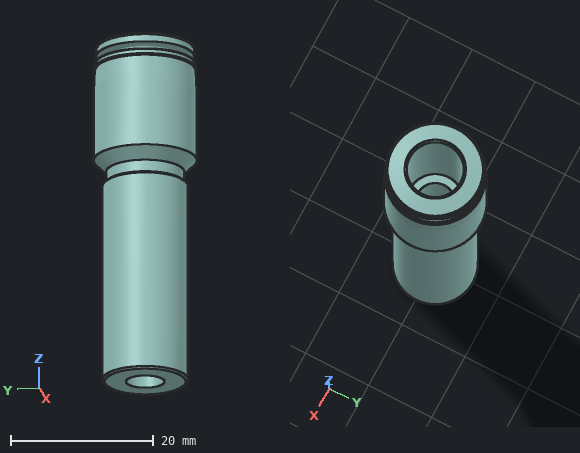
import cadquery as cq

TOTAL_LENGTH = 49.7
THROUGH_DIAMETER = 5.4

STEM_DIAMETER = 12.0
STEM_LENGTH = 28.95
STEM_BOTTOM_CHAMFER = 0.3
STEM_SHOULDER_HEIGHT = 0.35

NECK_DIAMETER = 11.0
NECK_TOP = 31.0

BODY_DIAMETER = 14.5
BODY_CONE_TOP = 32.7
BODY_STRAIGHT_TOP = 43.1
BODY_TAPER_DIAMETER = 14.25
BODY_RIM_DIAMETER = 14.2
BODY_TAPER_TOP = 45.35
BODY_TOP = 46.12

RING_TOP = 46.98
RIM_CHAMFER = 0.12

SLEEVE_DIAMETER = 10.0
FLANGE_DIAMETER = 13.8
FLANGE_BOTTOM = 48.05
FLANGE_CHAMFER_WIDTH = 0.2
FLANGE_CHAMFER_HEIGHT = 0.25
FLANGE_ROOT_RADIUS = 0.3
FLANGE_CROWN_HEIGHT = 0.35

SOCKET_DIAMETER = 8.0
SOCKET_MOUTH_DIAMETER = 8.6
SOCKET_MOUTH_DEPTH = 0.3
SOCKET_FLOOR = BODY_CONE_TOP


def revolve_about_z(outline):
    """Revolve a closed outline in the XZ plane a full turn about the Z axis."""
    return outline.revolve(360, (0, 0, 0), (0, 1, 0))


def turn(profile):
    """Revolve a closed (radius, height) outline about the Z axis."""
    return revolve_about_z(cq.Workplane("XZ").polyline(profile).close())


def make_stem_and_body():
    stem_radius = STEM_DIAMETER / 2
    neck_radius = NECK_DIAMETER / 2
    body_radius = BODY_DIAMETER / 2
    rim_radius = BODY_RIM_DIAMETER / 2
    return turn([
        (0, 0),
        (stem_radius - STEM_BOTTOM_CHAMFER, 0),
        (stem_radius, STEM_BOTTOM_CHAMFER),
        (stem_radius, STEM_LENGTH),
        (neck_radius, STEM_LENGTH + STEM_SHOULDER_HEIGHT),
        (neck_radius, NECK_TOP),
        (body_radius, BODY_CONE_TOP),
        (body_radius, BODY_STRAIGHT_TOP),
        (BODY_TAPER_DIAMETER / 2, BODY_TAPER_TOP),
        (rim_radius, BODY_TOP - RIM_CHAMFER),
        (rim_radius - RIM_CHAMFER, BODY_TOP),
        (0, BODY_TOP),
    ])


def make_end_ring():
    rim_radius = BODY_RIM_DIAMETER / 2
    return turn([
        (0, BODY_TOP),
        (rim_radius - RIM_CHAMFER, BODY_TOP),
        (rim_radius, BODY_TOP + RIM_CHAMFER),
        (rim_radius, RING_TOP - RIM_CHAMFER),
        (rim_radius - RIM_CHAMFER, RING_TOP),
        (0, RING_TOP),
    ])


def make_release_sleeve():
    sleeve_radius = SLEEVE_DIAMETER / 2
    flange_radius = FLANGE_DIAMETER / 2
    crown_base = TOTAL_LENGTH - FLANGE_CROWN_HEIGHT
    root_start = (sleeve_radius, FLANGE_BOTTOM - FLANGE_ROOT_RADIUS)
    root_end = (sleeve_radius + FLANGE_ROOT_RADIUS, FLANGE_BOTTOM)
    outline = (
        cq.Workplane("XZ")
        .moveTo(0, RING_TOP)
        .lineTo(sleeve_radius, RING_TOP)
        .lineTo(*root_start)
        .tangentArcPoint(root_end, relative=False)
        .lineTo(flange_radius, FLANGE_BOTTOM)
        .lineTo(flange_radius, crown_base - FLANGE_CHAMFER_HEIGHT)
        .lineTo(flange_radius - FLANGE_CHAMFER_WIDTH, crown_base)
        .lineTo(SOCKET_MOUTH_DIAMETER / 2, TOTAL_LENGTH)
        .lineTo(0, TOTAL_LENGTH)
        .close()
    )
    return revolve_about_z(outline)


def make_bore():
    through_radius = THROUGH_DIAMETER / 2
    socket_radius = SOCKET_DIAMETER / 2
    return turn([
        (0, 0),
        (through_radius, 0),
        (through_radius, SOCKET_FLOOR),
        (socket_radius, SOCKET_FLOOR),
        (socket_radius, TOTAL_LENGTH - SOCKET_MOUTH_DEPTH),
        (SOCKET_MOUTH_DIAMETER / 2, TOTAL_LENGTH),
        (0, TOTAL_LENGTH),
    ])


outside = make_stem_and_body().union(make_end_ring()).union(make_release_sleeve())
result = outside.cut(make_bore())